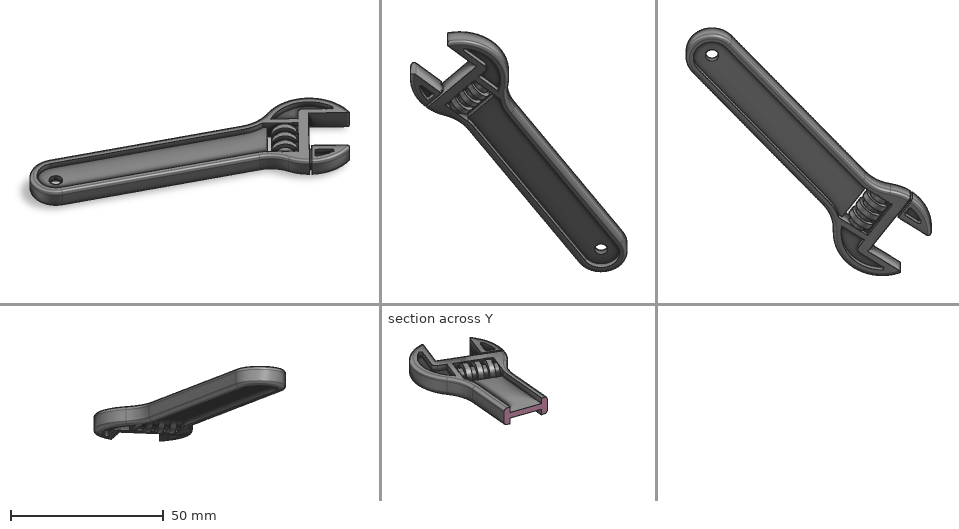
import cadquery as cq
import math


thickness = 6.2
edge_radius = 1.2
handle_radius = 8.5
hole_diameter = 4.3
head_radius = 16.08
head_x = -0.67
head_y = 86.0
neck_radius = 14.0

recess_depth = 2.0
handle_wall = 2.4
head_wall = 2.6
recess_corner_radius = 0.6
recess_inner_corner_radius = 1.5
fixed_jaw_floor_wall = 3.4
movable_jaw_floor_wall = 1.0

head_tilt = 14.0
mouth_width = 16.0
mouth_floor_b = -0.1
jaw_gap = 0.8
fixed_tip_radius = 0.75
movable_tip_radius = 1.0
jaw_wall = 2.0

ring_width = 2.0
ring_count = 3
ring_radius = 4.41
core_radius = 3.0
axis_b = -8.0
window_start_a = -3.25
window_top_b = -3.6
window_bottom_b = -13.75

rack_thickness = 3.0
rack_bottom_b = axis_b + core_radius
rack_end_inset = 1.2

half_thickness = thickness / 2
half_mouth = mouth_width / 2
window_length = (2 * ring_count + 1) * ring_width
window_end_a = window_start_a + window_length
recess_floor_z = half_thickness - recess_depth
jaw_gap_top_b = mouth_floor_b + jaw_gap
reach = 2 * head_radius


def to_head(shape):
    """Move a shape from the head frame to its place on the wrench."""
    return shape.rotate((0, 0, 0), (0, 0, 1), -head_tilt).translate((head_x, head_y, 0))


def slab(a_min, a_max, b_min, b_max, z_min, z_max):
    """Box given by its limits in the head frame."""
    size = (a_max - a_min, b_max - b_min, z_max - z_min)
    return cq.Workplane("XY").box(*size, centered=False).translate((a_min, b_min, z_min))


def rack_bar(a_min, a_max, b_min, b_max):
    """Part of the rack, centred in the thickness, given by its limits in the head frame."""
    return slab(a_min, a_max, b_min, b_max, -rack_thickness / 2, rack_thickness / 2)


def neck_arc(side, inset):
    """Ends and middle of the concave arc on one side (-1 left, 1 right), handle end first."""
    radius = neck_radius + inset
    center_x = side * (handle_radius + neck_radius)
    across = center_x - head_x
    center_y = head_y - math.sqrt((head_radius + neck_radius) ** 2 - across**2)
    handle_angle = math.pi if side > 0 else 0.0
    head_angle = math.atan2(head_y - center_y, -across)

    def at(angle):
        return (center_x + radius * math.cos(angle), center_y + radius * math.sin(angle))

    return at(handle_angle), at((handle_angle + head_angle) / 2), at(head_angle)


def wrench_outline(inset, z_min, height):
    """Solid inside the handle-and-head outline, drawn in by inset."""
    end_radius = handle_radius - inset
    right_low, right_mid, right_high = neck_arc(1, inset)
    left_low, left_mid, left_high = neck_arc(-1, inset)
    return (
        cq.Workplane("XY", origin=(0, 0, z_min))
        .moveTo(-end_radius, 0)
        .threePointArc((0, -end_radius), (end_radius, 0))
        .lineTo(*right_low)
        .threePointArc(right_mid, right_high)
        .threePointArc((head_x, head_y + head_radius - inset), left_high)
        .threePointArc(left_mid, left_low)
        .close()
        .extrude(height)
    )


def make_blank():
    """Body with rounded outer edges and the hanging hole, before the head is cut."""
    blank = wrench_outline(0, -half_thickness, thickness)
    blank = blank.faces("|Z").edges().fillet(edge_radius)
    return blank.cut(cq.Workplane("XY").circle(hole_diameter / 2).extrude(thickness, both=True))


def make_mouth():
    return to_head(slab(-half_mouth, half_mouth, mouth_floor_b, reach, -thickness, thickness))


def make_tip_trim(side, radius):
    """Piece outside the rounded tip of one jaw (-1 fixed, 1 movable)."""
    center_a = half_mouth + radius
    center_b = math.sqrt((head_radius - radius) ** 2 - center_a**2)
    end_angle = math.atan2(center_b, center_a)
    mid_angle = (math.pi + end_angle) / 2

    def at(angle, distance, from_a, from_b):
        return (side * (from_a + distance * math.cos(angle)), from_b + distance * math.sin(angle))

    trim = (
        cq.Workplane("XY", origin=(0, 0, -thickness))
        .moveTo(side * half_mouth, center_b)
        .threePointArc(at(mid_angle, radius, center_a, center_b), at(end_angle, head_radius, 0, 0))
        .lineTo(*at(end_angle, reach, 0, 0))
        .lineTo(side * half_mouth, reach)
        .close()
        .extrude(2 * thickness)
    )
    return to_head(trim)


def make_jaw_gap():
    """Slot under the movable jaw, interrupted by the rack that carries it."""
    gap = slab(half_mouth, reach, mouth_floor_b, jaw_gap_top_b, -thickness, thickness)
    rack = rack_bar(half_mouth, head_radius - rack_end_inset, mouth_floor_b, jaw_gap_top_b)
    return to_head(gap.cut(rack))


def make_window():
    """Worm window through the body, leaving the rack standing along its upper edge."""
    window = slab(
        window_start_a, window_end_a, window_bottom_b, window_top_b, -thickness, thickness
    )
    rack = rack_bar(window_start_a, window_end_a, rack_bottom_b, window_top_b)
    return to_head(window.cut(rack))


def make_worm():
    """Core spanning the window with evenly spaced rings."""

    def disc(start_a, length, radius):
        plane = cq.Workplane("YZ", origin=(start_a, axis_b, 0))
        return plane.circle(radius).extrude(length)

    worm = disc(window_start_a, window_length, core_radius)
    for index in range(ring_count):
        start_a = window_start_a + (2 * index + 1) * ring_width
        worm = worm.union(disc(start_a, ring_width, ring_radius))
    return to_head(worm)


def head_disc():
    """Region of the head inside its rim."""
    disc = cq.Workplane("XY", origin=(0, 0, recess_floor_z))
    return disc.circle(head_radius - head_wall).extrude(recess_depth)


def make_handle_recess():
    """Handle recess, running from the round end up to the worm window."""
    recess = wrench_outline(handle_wall, recess_floor_z, recess_depth)
    end_b = -2 * head_y
    below_window = slab(window_start_a, head_y, end_b, window_bottom_b, -thickness, thickness)
    return recess.intersect(to_head(below_window))


def make_fixed_jaw_recess():
    """Stepped recess following the rim beside the mouth and the window."""
    mouth_edge_a = -half_mouth - jaw_wall
    window_edge_a = window_start_a - jaw_wall
    step_b = mouth_floor_b - fixed_jaw_floor_wall
    upper = slab(-reach, mouth_edge_a, -reach, reach, recess_floor_z, half_thickness)
    lower = slab(-reach, window_edge_a, -reach, step_b, recess_floor_z, half_thickness)
    profile = upper.union(lower)
    step_corner = (mouth_edge_a, step_b, recess_floor_z + recess_depth / 2)
    inner_edge = cq.selectors.NearestToPointSelector(step_corner)
    profile = profile.edges("|Z").edges(inner_edge).fillet(recess_inner_corner_radius)
    recess = head_disc().intersect(profile)
    return to_head(recess.edges("|Z").edges(">Y").fillet(recess_corner_radius))


def make_movable_jaw_recess():
    edge_a = half_mouth + jaw_wall
    floor_b = jaw_gap_top_b + movable_jaw_floor_wall
    profile = slab(edge_a, reach, floor_b, reach, recess_floor_z, half_thickness)
    recess = head_disc().intersect(profile)
    return to_head(recess.edges("|Z").fillet(recess_corner_radius))


result = make_blank().cut(make_mouth())
result = result.cut(make_tip_trim(-1, fixed_tip_radius)).cut(make_tip_trim(1, movable_tip_radius))
result = result.cut(make_jaw_gap()).cut(make_window())
for recess in (make_handle_recess(), make_fixed_jaw_recess(), make_movable_jaw_recess()):
    result = result.cut(recess).cut(recess.mirror("XY"))
result = result.union(make_worm())